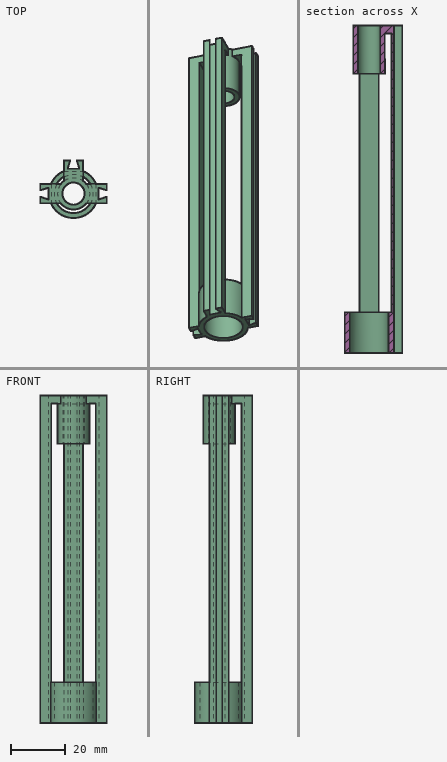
import cadquery as cq

height = 120.0
reach = 24.4 / 2
arm_width = 7.1
leg_thickness = 4.1
arm_thickness = 3.0
leg_angles = (0, 90, 180)

groove_depth = 3.0
groove_mouth = 2.3
groove_floor = 4.2

guide_outer_diameter = 11.8
bore_diameter = 8.0
guide_length = 17.8

ring_outer_diameter = 18.0
ring_inner_diameter = 14.2
ring_height = 15.0


def leg_with_arm():
    """Leg along +X, tied to the axis by a flat arm at its top."""
    leg = cq.Workplane("XY").box(leg_thickness, arm_width, height, centered=(False, True, False))
    leg = leg.translate((reach - leg_thickness, 0, 0))
    arm = cq.Workplane("XY").box(reach, arm_width, arm_thickness, centered=(False, True, False))
    return leg.union(arm.translate((0, 0, height - arm_thickness)))


def dovetail_groove():
    """Full-height groove in the +X leg, wider at its floor than at its mouth."""
    floor_x = reach - groove_depth
    return (
        cq.Workplane("XY")
        .moveTo(reach, -groove_mouth / 2)
        .lineTo(reach, groove_mouth / 2)
        .lineTo(floor_x, groove_floor / 2)
        .lineTo(floor_x, -groove_floor / 2)
        .close()
        .extrude(height)
    )


def cylinder(diameter, base_z, length):
    """Upright cylinder on the bore axis."""
    return cq.Workplane("XY").workplane(offset=base_z).circle(diameter / 2).extrude(length)


guide_base = height - guide_length
ring_bore = cylinder(ring_inner_diameter, 0, ring_height)
ring = cylinder(ring_outer_diameter, 0, ring_height).cut(ring_bore)

result = cylinder(guide_outer_diameter, guide_base, guide_length).union(ring)
for angle in leg_angles:
    result = result.union(leg_with_arm().rotate((0, 0, 0), (0, 0, 1), angle))

for angle in leg_angles:
    result = result.cut(dovetail_groove().rotate((0, 0, 0), (0, 0, 1), angle))
result = result.cut(cylinder(bore_diameter, guide_base, guide_length))